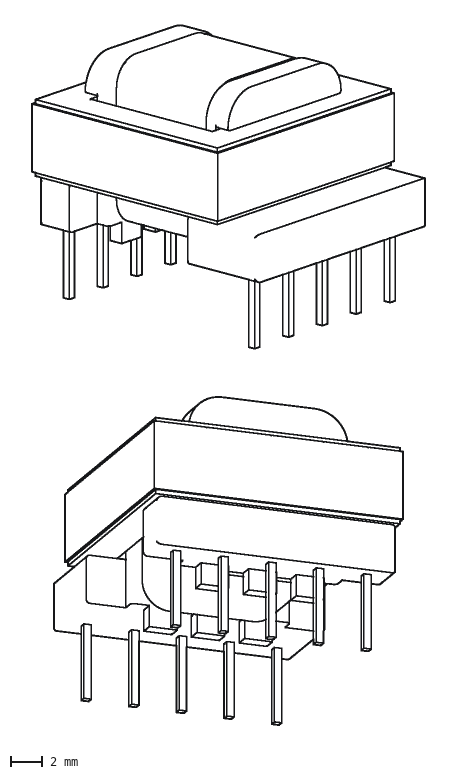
import cadquery as cq


tape_thickness = 0.15
tape_setback = 0.28
core_length = 15.23
core_width = 16.42
core_height = 5.03
window_length = 10.2
window_width = 11.7
core_clearance = 0.07

rail_height = 3.18
rail_width = 16.03
rail_fillet = 0.27
left_rail_end = -7.47
right_rail_end = 10.785

flange_inner = 4.0
flange_outer = 4.96
overhang_outer = 5.965
flange_width = 10.7
flange_top = 10.77
flange_round = 2.25
flange_edge_fillet = 0.25
overhang_fillet = 0.2

leg_count = 3
leg_width = 1.87
leg_length = 1.4

winding_width = 9.24
winding_bottom = -0.22
winding_round = 1.83

pin_size = 0.5
pin_length = 4.92
pin_count = 5
pin_pitch = 3.2
left_pin_x = -6.4
right_pin_x = 9.1

core_bottom = rail_height + core_clearance
overhang_bottom = core_bottom + core_height + core_clearance


def block(x_start, x_end, width, z_start, z_end, y_centre=0):
    """Box between two X and two Z positions, centred on y_centre."""
    box = cq.Workplane("XY").box(x_end - x_start, width, z_end - z_start, centered=(False, True, False))
    return box.translate((x_start, y_centre, z_start))


def row_positions(count):
    """Y positions of a row spaced at the pin pitch and centred on Y = 0."""
    return [(index - (count - 1) / 2) * pin_pitch for index in range(count)]


def make_core():
    """Ring core with the tape band standing proud of its four outer faces."""
    half_length = core_length / 2
    core_top = core_bottom + core_height
    half_taped = half_length + tape_thickness
    taped_width = core_width + 2 * tape_thickness
    half_window = window_length / 2
    core = block(-half_length, half_length, core_width, core_bottom, core_top)
    tape = block(-half_taped, half_taped, taped_width, core_bottom + tape_setback, core_top - tape_setback)
    window = block(-half_window, half_window, window_width, core_bottom, core_top)
    return core.union(tape).cut(window)


def make_rail(inner_x, end_x):
    """Pin rail, rounded around both Y end faces except where it meets the flange."""
    rail = block(min(inner_x, end_x), max(inner_x, end_x), rail_width, 0, rail_height)
    outer_side = ">X" if end_x > inner_x else "<X"
    rounded_edges = f"((>Y or <Y) and |X) or (|Z and {outer_side})"
    return rail.edges(rounded_edges).fillet(rail_fillet)


def make_right_flange():
    """Flange plate through the core window, with its overhang above the core and its legs."""
    plate = block(flange_inner, flange_outer, flange_width, 0, flange_top)
    plate = plate.edges("|X and >Z").fillet(flange_round)
    plate = plate.faces("<X").edges("not <Z").fillet(flange_edge_fillet)

    overhang = block(flange_outer, overhang_outer, flange_width, overhang_bottom, flange_top)
    overhang = overhang.edges("|X and >Z").fillet(flange_round)
    overhang = overhang.edges("|X and <Z").fillet(overhang_fillet)
    plate = plate.union(overhang)

    for leg_y in row_positions(leg_count):
        plate = plate.union(block(flange_inner, flange_outer, leg_width, -leg_length, 0, leg_y))
    return plate


def make_winding():
    """Rounded winding block filling the space between the flanges."""
    winding = block(-flange_inner, flange_inner, winding_width, winding_bottom, flange_top)
    return winding.edges("|X").fillet(winding_round)


def make_pin(x_centre, y_centre):
    """Square pin below a rail."""
    half_size = pin_size / 2
    return block(x_centre - half_size, x_centre + half_size, pin_size, -pin_length, 0, y_centre)


def make_bobbin():
    """Flanges, winding, rails and pins as one solid."""
    right_flange = make_right_flange()
    bobbin = make_winding().union(right_flange).union(right_flange.mirror("YZ"))
    bobbin = bobbin.union(make_rail(-flange_outer, left_rail_end))
    bobbin = bobbin.union(make_rail(flange_outer, right_rail_end))
    for pin_x in (left_pin_x, right_pin_x):
        for pin_y in row_positions(pin_count):
            bobbin = bobbin.union(make_pin(pin_x, pin_y))
    return bobbin


core = make_core()
bobbin = make_bobbin()

result = cq.Compound.makeCompound([core.val(), *bobbin.vals()])